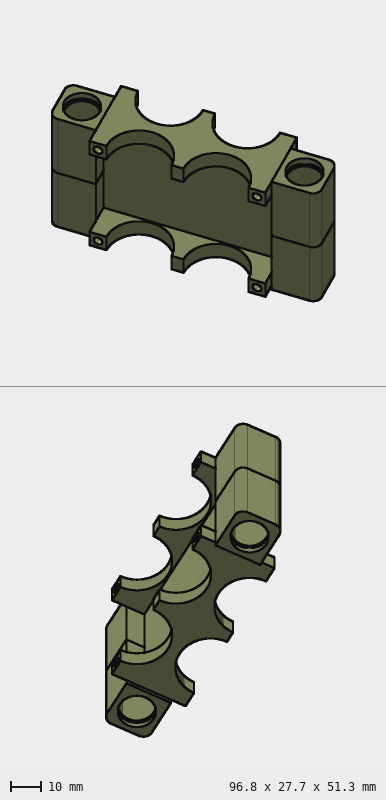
import cadquery as cq

overall_length = 96.77
overall_height = 51.28

block_side = 16.8
block_height = overall_height / 2
block_corner_radius = 3.175
bearing_diameter = 12.7
bearing_bore_depth = 22.86
shaft_hole_diameter = 6.73
ring_groove_diameter = 13.41
ring_groove_depth = 2.84
ring_groove_width = 1.0

frame_length = overall_length - 2 * block_side
frame_width = 27.69
frame_height = 49.53
plate_thickness = 6.35
web_thickness = 3.3
cell_diameter = 23.36
cell_pitch = frame_width
screw_hole_diameter = 3.17
corner_pad_length = (frame_length - cell_pitch - cell_diameter) / 2

frame_bottom = overall_height - frame_height
block_center_x = (overall_length - block_side) / 2
screw_x = (frame_length - corner_pad_length) / 2


def make_plate(bottom_z):
    """Plate with two half-round cell seats in each long edge and a cross hole near each end."""
    plate = (
        cq.Workplane("XY", origin=(0, 0, bottom_z))
        .box(frame_length, frame_width, plate_thickness, centered=(True, True, False))
    )
    cell_centers = [
        (x_side * cell_pitch / 2, y_side * frame_width / 2)
        for x_side in (-1, 1)
        for y_side in (-1, 1)
    ]
    cells = (
        cq.Workplane("XY", origin=(0, 0, bottom_z))
        .pushPoints(cell_centers)
        .circle(cell_diameter / 2)
        .extrude(plate_thickness)
    )
    screw_holes = (
        cq.Workplane("XZ", origin=(0, 0, bottom_z + plate_thickness / 2))
        .pushPoints([(-screw_x, 0), (screw_x, 0)])
        .circle(screw_hole_diameter / 2)
        .extrude(frame_width / 2, both=True)
    )
    return plate.cut(cells).cut(screw_holes)


def make_frame():
    """Upper and lower plates joined by the web between them."""
    lower_plate = make_plate(frame_bottom)
    upper_plate = make_plate(overall_height - plate_thickness)
    web = (
        cq.Workplane("XY", origin=(0, 0, frame_bottom + plate_thickness))
        .box(
            frame_length,
            web_thickness,
            frame_height - 2 * plate_thickness,
            centered=(True, True, False),
        )
    )
    return lower_plate.union(web).union(upper_plate)


def make_upper_left_block():
    """Block with a bearing bore open at the top, a retaining ring groove and a shaft hole."""
    block = (
        cq.Workplane("XY", origin=(-block_center_x, 0, overall_height - block_height))
        .box(block_side, block_side, block_height, centered=(True, True, False))
        .edges("|Z and <X")
        .fillet(block_corner_radius)
    )
    bore_axis = cq.Workplane("XY", origin=(-block_center_x, 0, overall_height))
    shaft_hole = bore_axis.circle(shaft_hole_diameter / 2).extrude(-block_height)
    bearing_bore = bore_axis.circle(bearing_diameter / 2).extrude(-bearing_bore_depth)
    ring_groove = (
        bore_axis.workplane(offset=-ring_groove_depth)
        .circle(ring_groove_diameter / 2)
        .extrude(-ring_groove_width)
    )
    return block.cut(shaft_hole).cut(bearing_bore).cut(ring_groove)


def make_blocks():
    """Four blocks: the lower ones mirror the upper ones, and the right ones mirror the left ones."""
    upper_left = make_upper_left_block()
    lower_left = upper_left.mirror("XY", (0, 0, overall_height / 2))
    blocks = []
    for left_block in (upper_left, lower_left):
        blocks.append(left_block)
        blocks.append(left_block.mirror("YZ"))
    return blocks


frame = make_frame()
bearing_blocks = make_blocks()

result = cq.Compound.makeCompound([frame.val(), *[block.val() for block in bearing_blocks]])